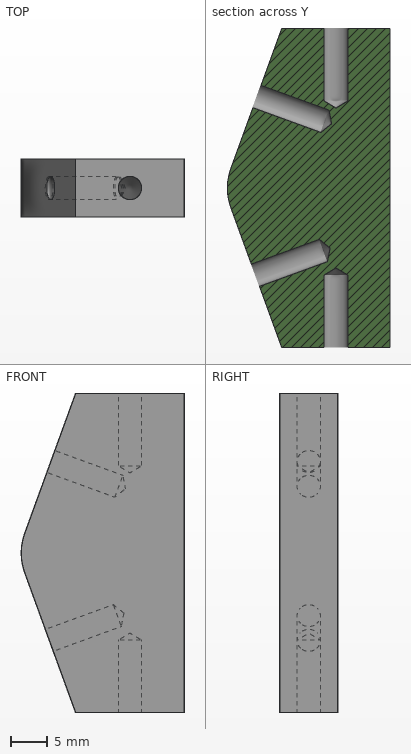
import cadquery as cq
import math

height = 44.0
thickness = 8.0
end_length = 15.0
slope_angle = 20.0
nose_radius = 7.88
hole_diameter = 3.2
hole_depth = 10.0
drill_tip_angle = 118.0
upper_slope_hole_distance = 10.0
lower_slope_hole_distance = 10.6

half_height = height / 2
slope = math.radians(slope_angle)
apex_x = -end_length - half_height * math.tan(slope)


def make_body():
    """Pentagonal plate with its sharp front edge rounded."""
    outline = [
        (0, -half_height),
        (0, half_height),
        (-end_length, half_height),
        (apex_x, 0),
        (-end_length, -half_height),
    ]
    plate = cq.Workplane("XZ").polyline(outline).close().extrude(thickness / 2, both=True)
    return plate.edges("<X").fillet(nose_radius)


def drilled_hole(mouth, direction):
    """Blind hole with a conical bottom, cut from mouth along direction."""
    radius = hole_diameter / 2
    tip_length = radius / math.tan(math.radians(drill_tip_angle / 2))
    bore = cq.Solid.makeCylinder(radius, hole_depth, mouth, direction)
    tip_base = mouth + direction.normalized() * hole_depth
    tip = cq.Solid.makeCone(radius, 0, tip_length, tip_base, direction)
    return bore.fuse(tip)


result = make_body()

for side, distance in ((1, upper_slope_hole_distance), (-1, lower_slope_hole_distance)):
    end_mouth = cq.Vector(-end_length / 2, 0, side * half_height)
    end_direction = cq.Vector(0, 0, -side)
    result = result.cut(drilled_hole(end_mouth, end_direction))

    slope_hole_x = -end_length - distance * math.sin(slope)
    slope_hole_z = side * (half_height - distance * math.cos(slope))
    slope_mouth = cq.Vector(slope_hole_x, 0, slope_hole_z)
    slope_direction = cq.Vector(math.cos(slope), 0, -side * math.sin(slope))
    result = result.cut(drilled_hole(slope_mouth, slope_direction))